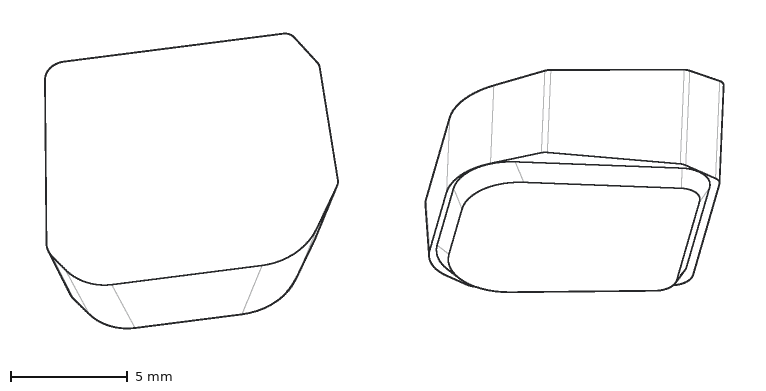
import cadquery as cq
import math

SEAT_HEIGHT = 0.75
PEAK_HEIGHT = 5.03
TOP_SLOPE_ANGLE = 5.0

UPRIGHT = 0.0
SOUTH_WEST_LEAN = 15.0
NORTH_EAST_LEAN = 15.0
CORNER_FLAT_TURN = 30.0
NORTH_EAST_FLAT_LEAN = math.degrees(
    math.atan(math.tan(math.radians(NORTH_EAST_LEAN)) * math.cos(math.radians(CORNER_FLAT_TURN)))
)
SEAT_LEAN = 30.0

NORTH_WEST = 140.0
SOUTH_EAST = NORTH_WEST - 180.0
SOUTH_WEST = -NORTH_WEST
NORTH_EAST = 50.0
EAST_FLAT = NORTH_EAST - CORNER_FLAT_TURN
NORTH_FLAT = NORTH_EAST + CORNER_FLAT_TURN
SOUTH_FLAT = -100.0
SEAT_NORTH_EAST = 45.0

NORTH_WEST_DISTANCE = 5.35

BODY_WALLS = [
    (SOUTH_EAST, 6.12, UPRIGHT, 3.0),
    (EAST_FLAT, 6.02, NORTH_EAST_FLAT_LEAN, 0.5),
    (NORTH_EAST, 5.52, NORTH_EAST_LEAN, 0.5),
    (NORTH_FLAT, 6.56, NORTH_EAST_FLAT_LEAN, 0.5),
    (NORTH_WEST, NORTH_WEST_DISTANCE, UPRIGHT, 1.0),
    (SOUTH_WEST, 4.73, SOUTH_WEST_LEAN, 1.0),
    (SOUTH_FLAT, 6.66, SOUTH_WEST_LEAN, 2.1),
]

SEAT_WALLS = [
    (SOUTH_EAST, 5.87, SEAT_LEAN, 2.5),
    (SEAT_NORTH_EAST, 4.87, SEAT_LEAN, 1.3),
    (NORTH_WEST, 4.97, SEAT_LEAN, 1.4),
    (SOUTH_WEST, 4.42, SEAT_LEAN, 2.6),
]

SEAT_SHRINK = SEAT_HEIGHT * math.tan(math.radians(SEAT_LEAN))
SEAT_CORNER_SHRINKS = [0.0, SEAT_SHRINK, SEAT_SHRINK, 0.0]


def polar(angle, length):
    """Vector of the given length and direction in the XY plane."""
    return cq.Vector(length * math.cos(math.radians(angle)), length * math.sin(math.radians(angle)))


def crossing(facing_a, distance_a, facing_b, distance_b):
    """Point where two wall lines meet, each given by its facing and distance from the origin."""
    turn = math.radians(facing_b - facing_a)
    along = (distance_b - distance_a * math.cos(turn)) / math.sin(turn)
    return polar(facing_a, distance_a) + polar(facing_a + 90.0, along)


def rounded_outline(walls, height, corner_shrinks):
    """Closed wire at the given height: straight walls joined by tangent corner arcs."""
    distances = [
        distance + (height - SEAT_HEIGHT) * math.tan(math.radians(lean))
        for _, distance, lean, _ in walls
    ]
    corners = []
    for i, (facing, _, _, radius) in enumerate(walls):
        following = (i + 1) % len(walls)
        next_facing = facing + (walls[following][0] - facing) % 360.0
        arc_radius = radius - corner_shrinks[i]
        centre = crossing(facing, distances[i] - arc_radius, next_facing, distances[following] - arc_radius)
        middle = (facing + next_facing) / 2
        corners.append([centre + polar(angle, arc_radius) for angle in (facing, middle, next_facing)])

    lift = cq.Vector(0, 0, height)
    edges = []
    for i, corner in enumerate(corners):
        start, middle, end = [point + lift for point in corner]
        wall_start = corners[i - 1][2] + lift
        edges.append(cq.Edge.makeLine(wall_start, start))
        edges.append(cq.Edge.makeThreePointArc(start, middle, end))
    return cq.Wire.assembleEdges(edges)


def make_body():
    """Leaning-walled block cut off by the sloping top face."""
    no_shrink = [0.0] * len(BODY_WALLS)
    levels = [rounded_outline(BODY_WALLS, height, no_shrink) for height in (SEAT_HEIGHT, PEAK_HEIGHT)]
    block = cq.Workplane(obj=cq.Solid.makeLoft(levels, True))

    peak_point = polar(NORTH_WEST, NORTH_WEST_DISTANCE) + cq.Vector(0, 0, PEAK_HEIGHT)
    tilt = math.radians(TOP_SLOPE_ANGLE)
    top_normal = polar(SOUTH_EAST, math.sin(tilt)) + cq.Vector(0, 0, math.cos(tilt))
    top_plane = cq.Plane(peak_point, polar(NORTH_WEST + 90.0, 1.0), top_normal)
    cutter_size = 40.0
    cutter = cq.Workplane(top_plane).rect(cutter_size, cutter_size).extrude(PEAK_HEIGHT)
    return block.cut(cutter)


def make_seat():
    """Rounded four-sided seat that narrows towards the base."""
    base = rounded_outline(SEAT_WALLS, 0.0, SEAT_CORNER_SHRINKS)
    top = rounded_outline(SEAT_WALLS, SEAT_HEIGHT, [0.0] * len(SEAT_WALLS))
    return cq.Workplane(obj=cq.Solid.makeLoft([base, top], True))


result = make_body().union(make_seat())